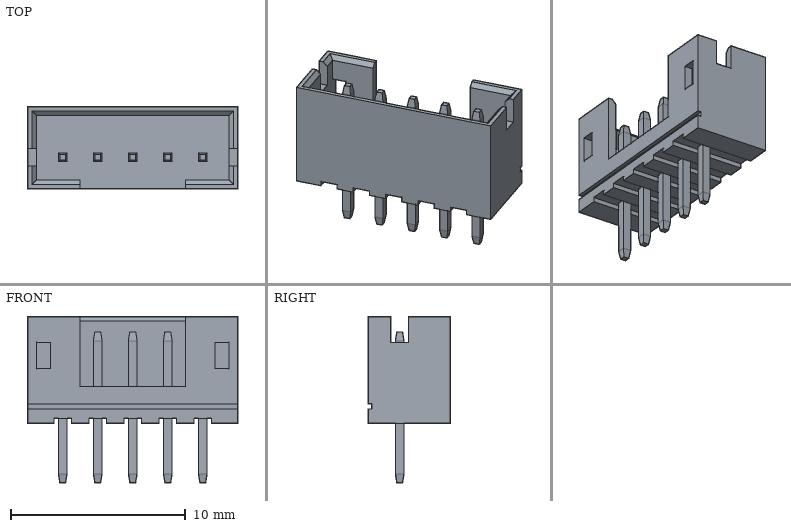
import cadquery as cq


housing_length = 12.01
housing_depth = 4.7
housing_height = 6.1
wall = 0.5
floor_height = 2.1
lead_in = wall / 2
front_to_pins = 1.8

pin_count = 5
pin_pitch = housing_length / (pin_count + 1)
pin_width = 0.5
pin_tip_width = 0.34
pin_tip_length = 0.5
pin_top = 5.22
overall_height = 9.5
pin_bottom = housing_height - overall_height

front_opening_width = housing_length / 2
side_notch_width = 1.0
side_notch_depth = 1.48
window_width = 0.8
window_height = 1.5
window_bottom = 3.12

standoff_slot_width = 1.0
standoff_slot_height = 0.28
groove_bottom = 0.83
groove_height = 0.28
groove_depth = 0.2

front_y = -front_to_pins
middle_y = front_y + housing_depth / 2
cavity_length = housing_length - 2 * wall
cavity_depth = housing_depth - 2 * wall
pin_positions = [(i - (pin_count - 1) / 2) * pin_pitch for i in range(pin_count)]


def block(length, depth, height, x, y, bottom):
    """Box centred on x and y, standing on the height `bottom`."""
    return cq.Workplane("XY").box(length, depth, height, centered=(True, True, False)).translate((x, y, bottom))


def make_cavity():
    """Open-topped interior of the shroud, flared at the rim as a 45 degree lead-in."""
    cavity = block(cavity_length, cavity_depth, housing_height - floor_height, 0, middle_y, floor_height)
    flare = (
        cq.Workplane("XY", origin=(0, middle_y, housing_height - lead_in))
        .rect(cavity_length, cavity_depth)
        .workplane(offset=lead_in)
        .rect(cavity_length + 2 * lead_in, cavity_depth + 2 * lead_in)
        .loft(ruled=True)
    )
    return cavity.union(flare)


def cut_wall_openings(body):
    """Front opening down to the floor, a notch in each end wall and two latch windows."""
    front_wall_y = front_y + wall / 2
    body = body.cut(
        block(front_opening_width, wall, housing_height - floor_height, 0, front_wall_y, floor_height)
    )
    notch_bottom = housing_height - side_notch_depth
    body = body.cut(block(housing_length, side_notch_width, side_notch_depth, 0, 0, notch_bottom))
    window_x = (cavity_length - window_width) / 2
    for x in (-window_x, window_x):
        body = body.cut(block(window_width, wall, window_height, x, front_wall_y, window_bottom))
    return body


def cut_base_details(body):
    """Groove along the front face and a slot across the underside at every pin."""
    body = body.cut(
        block(housing_length, groove_depth, groove_height, 0, front_y + groove_depth / 2, groove_bottom)
    )
    for x in pin_positions:
        body = body.cut(block(standoff_slot_width, housing_depth, standoff_slot_height, x, middle_y, 0))
    return body


def make_pin(x):
    """Square pin through the floor with a tapered tip at each end."""
    shank_bottom = pin_bottom + pin_tip_length
    shank_top = pin_top - pin_tip_length
    pin = block(pin_width, pin_width, shank_top - shank_bottom, x, 0, shank_bottom)
    for shoulder, tip_offset in ((shank_top, pin_tip_length), (shank_bottom, -pin_tip_length)):
        tip = (
            cq.Workplane("XY", origin=(x, 0, shoulder))
            .rect(pin_width, pin_width)
            .workplane(offset=tip_offset)
            .rect(pin_tip_width, pin_tip_width)
            .loft(ruled=True)
        )
        pin = pin.union(tip)
    return pin


housing = block(housing_length, housing_depth, housing_height, 0, middle_y, 0).cut(make_cavity())
housing = cut_wall_openings(housing)
housing = cut_base_details(housing)

result = housing
for pin_x in pin_positions:
    result = result.union(make_pin(pin_x))